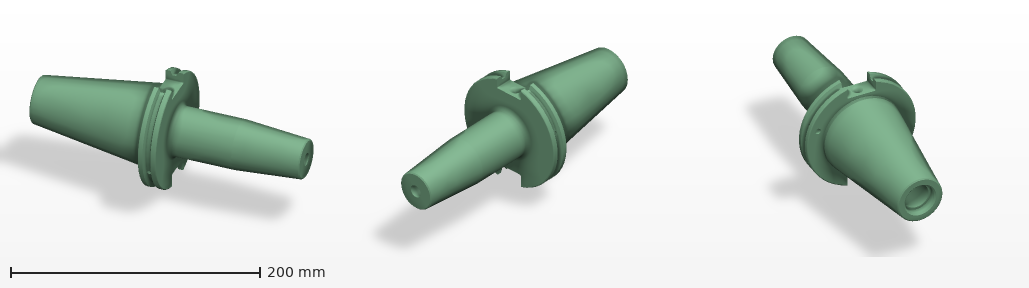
import cadquery as cq
import math

total_length = 231.5
gauge_x = 101.7
relief_x = 103.0
flange_start_x = 105.0
flange_end_x = 120.5
nose_start_x = 174.9

gauge_diameter = 70.0
relief_diameter = 69.2
flange_diameter = 98.0
shank_diameter = 42.0
tip_diameter = 33.4
taper_ratio = 7 / 24
taper_end_chamfer = 1.0
relief_fillet = 0.7
flange_fillet = 1.0
shank_fillet = 3.5
tip_chamfer = 1.0

groove_floor_diameter = 90.5
groove_rim_start_x = 109.0
groove_floor_start_x = 110.7
groove_floor_end_x = 114.2
groove_rim_end_x = 116.0

bore_mouth_diameter = 28.7
counterbore_diameter = 26.2
counterbore_depth = 7.0
pilot_diameter = 22.0
pilot_depth = 46.3
through_diameter = 11.0
drill_point_angle = 118.0

slot_width = 25.7
upper_slot_floor_radius = 38.0
lower_slot_floor_radius = 35.2
slot_fillet = 1.0
dimple_diameter = 9.5

port_x = 112.5
port_circle_radius = 41.7
port_angle = 20.0
axial_port_diameter = 5.0
radial_port_diameter = 4.2


def drill_point_height(large_diameter, small_diameter=0.0):
    """Length of the cone a drill leaves between two diameters."""
    return (large_diameter - small_diameter) / 2 / math.tan(math.radians(drill_point_angle / 2))


def revolve_about_x(points):
    """Solid of revolution from an (x, radius) outline closed along the axis."""
    return cq.Workplane("XY").polyline(points).close().revolve(360, (0, 0, 0), (1, 0, 0))


def fillet_rim(body, x, diameter, fillet_radius):
    """Round the circular edge with the given place and diameter."""
    def is_rim(edge):
        if edge.geomType() != "CIRCLE":
            return False
        return math.isclose(edge.Center().x, x) and math.isclose(2 * edge.radius(), diameter)

    return body.edges().filter(is_rim).fillet(fillet_radius)


def make_body():
    small_radius = (gauge_diameter - gauge_x * taper_ratio) / 2
    flange_radius = flange_diameter / 2
    shank_radius = shank_diameter / 2
    groove_floor_radius = groove_floor_diameter / 2
    tip_radius = tip_diameter / 2
    body = revolve_about_x([
        (0, 0),
        (0, small_radius - taper_end_chamfer),
        (taper_end_chamfer, small_radius + taper_end_chamfer * taper_ratio / 2),
        (gauge_x, gauge_diameter / 2),
        (relief_x, relief_diameter / 2),
        (flange_start_x, relief_diameter / 2),
        (flange_start_x, flange_radius),
        (groove_rim_start_x, flange_radius),
        (groove_floor_start_x, groove_floor_radius),
        (groove_floor_end_x, groove_floor_radius),
        (groove_rim_end_x, flange_radius),
        (flange_end_x, flange_radius),
        (flange_end_x, shank_radius),
        (nose_start_x, shank_radius),
        (total_length - tip_chamfer, tip_radius),
        (total_length, tip_radius - tip_chamfer),
        (total_length, 0),
    ])
    rims = [
        (flange_start_x, relief_diameter, relief_fillet),
        (flange_start_x, flange_diameter, flange_fillet),
        (flange_end_x, flange_diameter, flange_fillet),
        (flange_end_x, shank_diameter, shank_fillet),
    ]
    for x, diameter, fillet_radius in rims:
        body = fillet_rim(body, x, diameter, fillet_radius)
    return body


def make_bore():
    mouth_depth = (bore_mouth_diameter - counterbore_diameter) / 2
    cone_end_x = pilot_depth + drill_point_height(pilot_diameter, through_diameter)
    return revolve_about_x([
        (0, 0),
        (0, bore_mouth_diameter / 2),
        (mouth_depth, counterbore_diameter / 2),
        (counterbore_depth, counterbore_diameter / 2),
        (counterbore_depth, pilot_diameter / 2),
        (pilot_depth, pilot_diameter / 2),
        (cone_end_x, through_diameter / 2),
        (total_length, through_diameter / 2),
        (total_length, 0),
    ])


def make_drive_slot(floor_radius):
    """Slot on the +Z side, with rounded corners along its floor."""
    slot = cq.Workplane("XY", origin=(flange_start_x, 0, floor_radius)).box(
        flange_end_x - flange_start_x, slot_width, flange_diameter / 2, centered=(False, True, False)
    )
    return slot.edges("|X and <Z").fillet(slot_fillet)


def make_dimple():
    """Cone sunk into the middle of the upper slot floor."""
    depth = drill_point_height(dimple_diameter)
    middle_x = (flange_start_x + flange_end_x) / 2
    return cq.Workplane(
        cq.Solid.makeCone(
            dimple_diameter / 2,
            0,
            depth,
            cq.Vector(middle_x, 0, upper_slot_floor_radius),
            cq.Vector(0, 0, -1),
        )
    )


def make_coolant_port():
    """Port on the +Y side, turned toward +Z by the port angle."""
    axial = (
        cq.Workplane("YZ", origin=(flange_start_x, port_circle_radius, 0))
        .circle(axial_port_diameter / 2)
        .extrude(port_x - flange_start_x)
    )
    radial = (
        cq.Workplane("XZ", origin=(port_x, port_circle_radius, 0))
        .circle(radial_port_diameter / 2)
        .extrude(port_circle_radius - flange_diameter / 2)
    )
    return axial.union(radial).rotate((0, 0, 0), (1, 0, 0), port_angle)


upper_slot = make_drive_slot(upper_slot_floor_radius)
lower_slot = make_drive_slot(lower_slot_floor_radius).rotate((0, 0, 0), (1, 0, 0), 180)

result = make_body().cut(make_bore()).cut(upper_slot).cut(lower_slot).cut(make_dimple())
for turn in (0, 180):
    result = result.cut(make_coolant_port().rotate((0, 0, 0), (1, 0, 0), turn))